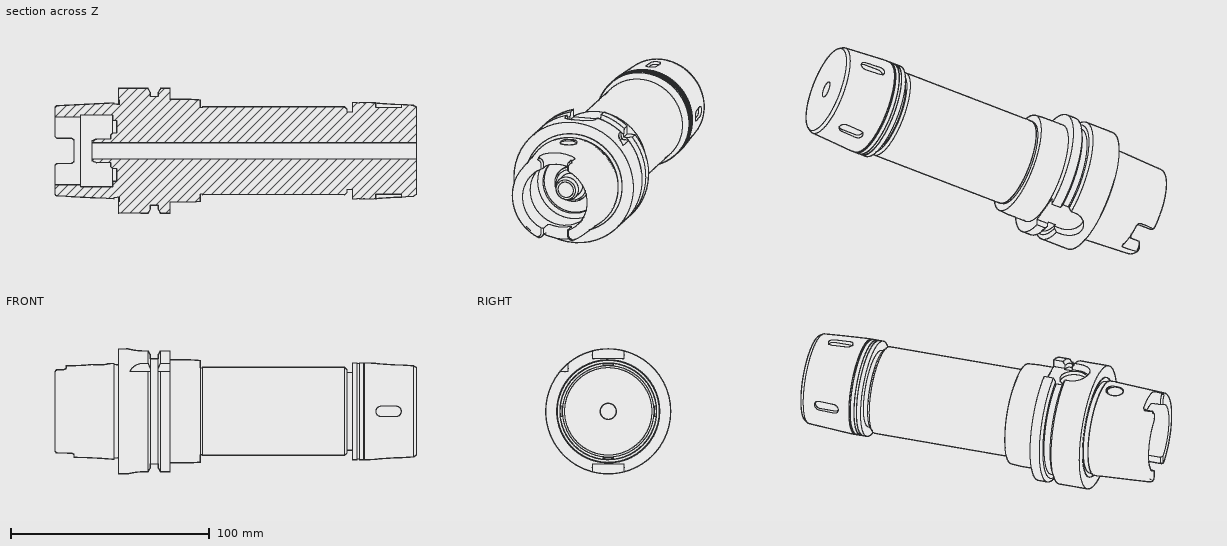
import cadquery as cq
import math


SHANK_LENGTH = 32.0
SHANK_DIAMETER = 48.4
TAPER_SLOPE = 0.05
TIP_ROUND = 1.3
RELIEF_START = -2.2
RELIEF_DEPTH = 0.6
RELIEF_TAPER_START = -1.2
RELIEF_FOOT_DIAMETER = 46.8
FACE_UNDERCUT_DIAMETER = 51.0
FACE_UNDERCUT_DEPTH = 0.4

FLANGE_DIAMETER = 63.0
FLANGE_LENGTH = 26.0
GROOVE_START = 14.9
GROOVE_END = 21.1
GROOVE_DIAMETER = 54.8
GROOVE_BEVEL_WIDTH = 1.2
GROOVE_BEVEL_ANGLE = 60.0
GROOVE_BEVEL_DEPTH = GROOVE_BEVEL_WIDTH * math.tan(math.radians(GROOVE_BEVEL_ANGLE))

COLLAR_DIAMETER = 52.0
COLLAR_TAPER_START = 36.1
COLLAR_END = 41.2
COLLAR_END_DIAMETER = 51.3
NECK_DIAMETER = 44.4
NECK_RELIEF_WIDTH = 1.0
NECK_RELIEF_DEPTH = 0.3
NECK_END = 115.1
NECK_CHAMFER = 1.3
THREAD_DIAMETER = 39.2

NUT_START = 117.7
NUT_END = 150.0
NUT_DIAMETER = 48.8
NUT_RIM_END = 126.2
NUT_FRONT_DIAMETER = 46.0
NUT_CHAMFER_LENGTH = 1.6
NUT_CHAMFER_DEPTH = 1.0
NUT_GROOVES = ((119.9, 121.2), (123.2, 123.9))
NUT_GROOVE_DEPTH = 0.3
WRENCH_SLOT_START = 129.5
WRENCH_SLOT_END = 142.3
WRENCH_SLOT_WIDTH = 5.2
WRENCH_SLOT_FLOOR = 21.9
WRENCH_SLOT_COUNT = 4

ENTRY_DIAMETER = 34.0
ENTRY_END = -19.0
CLAMP_DIAMETER = 36.0
CLAMP_END = -3.0
INNER_DIAMETER = 30.4
INNER_END = -1.0
THROUGH_DIAMETER = 8.0

TUBE_DIAMETER = 12.0
TUBE_END = -13.4
TUBE_TIP_LENGTH = 2.3
TUBE_TIP_DIAMETER = 10.2
TUBE_NUT_DIAMETER = 18.0
TUBE_NUT_END = -4.0
TUBE_NUT_CHAMFER = 1.0

DRIVE_SLOT_WIDTH = 12.5
DRIVE_SLOT_ROUND = 3.0
DRIVE_SLOT_ROUND_CENTRE = 18.0
DRIVE_SLOT_INSIDE = 12.0
DRIVE_SLOT_FLOOR_FILLET = 1.5
DRIVE_SLOT_CHAMFER = 1.0
TOP_SLOT_DEPTH = 5.6
BOTTOM_SLOT_DEPTH = 9.6

SHANK_HOLE_X = -8.9
SHANK_HOLE_DIAMETER = 8.0
SHANK_HOLE_RIM_DIAMETER = 9.2

FLANGE_SLOT_X = 12.75
FLANGE_SLOT_WIDTH = 16.0
FLANGE_SLOT_FLOOR = 26.5
POCKET_DIAMETER = 14.3
POCKET_DEPTH = 2.0
NOTCH_FLOOR = 20.0
NOTCH_WALL = 20.2

BEYOND = 40.0
HALF_RIGHT_ANGLE = 45.0


def revolve_x(points):
    """Solid of revolution about X from (x, radius) points, closed along the axis."""
    start_x = points[0][0]
    end_x = points[-1][0]
    outline = cq.Workplane("XY").moveTo(start_x, 0)
    for x, radius in points:
        outline = outline.lineTo(x, radius)
    outline = outline.lineTo(end_x, 0).close()
    return outline.revolve(360, (0, 0, 0), (1, 0, 0))


def ring(start_x, end_x, inner_radius, outer_radius):
    disc = cq.Workplane("YZ", origin=(start_x, 0, 0)).circle(outer_radius).circle(inner_radius)
    return disc.extrude(end_x - start_x)


def make_shank():
    base_radius = SHANK_DIAMETER / 2
    tip_radius = base_radius - TAPER_SLOPE * (SHANK_LENGTH + RELIEF_START)
    shank = revolve_x([(-SHANK_LENGTH, tip_radius), (RELIEF_START, base_radius)])
    shank = shank.faces("<X").edges().fillet(TIP_ROUND)
    relief_radius = base_radius - RELIEF_DEPTH
    relief = revolve_x([
        (RELIEF_START, relief_radius),
        (RELIEF_TAPER_START, relief_radius),
        (FACE_UNDERCUT_DEPTH, RELIEF_FOOT_DIAMETER / 2),
    ])
    return shank.union(relief)


def make_body():
    flange = FLANGE_DIAMETER / 2
    groove = GROOVE_DIAMETER / 2
    bevel_foot = flange - GROOVE_BEVEL_DEPTH
    collar = COLLAR_DIAMETER / 2
    collar_end = COLLAR_END_DIAMETER / 2
    neck = NECK_DIAMETER / 2
    neck_relief = neck - NECK_RELIEF_DEPTH
    thread = THREAD_DIAMETER / 2
    body = revolve_x([
        (0, flange),
        (GROOVE_START, flange),
        (GROOVE_START + GROOVE_BEVEL_WIDTH, bevel_foot),
        (GROOVE_START + GROOVE_BEVEL_WIDTH, groove),
        (GROOVE_END - GROOVE_BEVEL_WIDTH, groove),
        (GROOVE_END - GROOVE_BEVEL_WIDTH, bevel_foot),
        (GROOVE_END, flange),
        (FLANGE_LENGTH, flange),
        (FLANGE_LENGTH, collar),
        (COLLAR_TAPER_START, collar),
        (COLLAR_END, collar_end),
        (COLLAR_END, neck_relief),
        (COLLAR_END + NECK_RELIEF_WIDTH, neck_relief),
        (COLLAR_END + NECK_RELIEF_WIDTH, neck),
        (NECK_END - NECK_CHAMFER, neck),
        (NECK_END, neck - NECK_CHAMFER),
        (NECK_END, thread),
        (NUT_START, thread),
    ])
    undercut_inner = RELIEF_FOOT_DIAMETER / 2
    return body.cut(ring(0, FACE_UNDERCUT_DEPTH, undercut_inner, FACE_UNDERCUT_DIAMETER / 2))


def make_nut():
    rim = NUT_DIAMETER / 2
    front = NUT_FRONT_DIAMETER / 2
    nut = revolve_x([
        (NUT_START, rim),
        (NUT_RIM_END, rim),
        (NUT_END - NUT_CHAMFER_LENGTH, front),
        (NUT_END, front - NUT_CHAMFER_DEPTH),
    ])
    for start_x, end_x in NUT_GROOVES:
        nut = nut.cut(ring(start_x, end_x, rim - NUT_GROOVE_DEPTH, BEYOND))
    slot_length = WRENCH_SLOT_END - WRENCH_SLOT_START
    slot_middle = (WRENCH_SLOT_START + WRENCH_SLOT_END) / 2
    slot = (
        cq.Workplane("XY", origin=(slot_middle, 0, WRENCH_SLOT_FLOOR))
        .slot2D(slot_length, WRENCH_SLOT_WIDTH)
        .extrude(BEYOND - WRENCH_SLOT_FLOOR)
    )
    for i in range(WRENCH_SLOT_COUNT):
        nut = nut.cut(slot.rotate((0, 0, 0), (1, 0, 0), i * 360 / WRENCH_SLOT_COUNT))
    return nut


def make_bores():
    entry = ENTRY_DIAMETER / 2
    clamp = CLAMP_DIAMETER / 2
    inner = INNER_DIAMETER / 2
    return revolve_x([
        (-SHANK_LENGTH, entry),
        (ENTRY_END, entry),
        (ENTRY_END, clamp),
        (CLAMP_END, clamp),
        (CLAMP_END, inner),
        (INNER_END, inner),
    ])


def make_coolant_tube():
    tube = TUBE_DIAMETER / 2
    nut = TUBE_NUT_DIAMETER / 2
    return revolve_x([
        (TUBE_END, TUBE_TIP_DIAMETER / 2),
        (TUBE_END + TUBE_TIP_LENGTH, tube),
        (TUBE_NUT_END, tube),
        (TUBE_NUT_END, nut - TUBE_NUT_CHAMFER),
        (TUBE_NUT_END + TUBE_NUT_CHAMFER, nut),
        (INNER_END, nut),
    ])


def make_through_hole():
    start = cq.Workplane("YZ", origin=(TUBE_END, 0, 0))
    return start.circle(THROUGH_DIAMETER / 2).extrude(NUT_END - TUBE_END)


def drive_slot_outline(margin):
    """Slot section at the tip face: straight walls that flare outward in an arc."""
    half = DRIVE_SLOT_WIDTH / 2 + margin
    bend = DRIVE_SLOT_ROUND - margin
    mouth = half + bend
    flare_end = DRIVE_SLOT_ROUND_CENTRE + bend
    mid_y = mouth - bend * math.cos(math.radians(HALF_RIGHT_ANGLE))
    mid_z = DRIVE_SLOT_ROUND_CENTRE + bend * math.sin(math.radians(HALF_RIGHT_ANGLE))
    return (
        cq.Workplane("YZ", origin=(-SHANK_LENGTH, 0, 0))
        .moveTo(-half, DRIVE_SLOT_INSIDE)
        .lineTo(half, DRIVE_SLOT_INSIDE)
        .lineTo(half, DRIVE_SLOT_ROUND_CENTRE)
        .threePointArc((mid_y, mid_z), (mouth, flare_end))
        .lineTo(mouth, BEYOND)
        .lineTo(-mouth, BEYOND)
        .lineTo(-mouth, flare_end)
        .threePointArc((-mid_y, mid_z), (-half, DRIVE_SLOT_ROUND_CENTRE))
        .close()
    )


def make_drive_slot(depth):
    """Slot opening upward, with filleted floor corners and a chamfered front edge."""
    slot = drive_slot_outline(0).extrude(depth)
    slot = slot.faces(">X").edges().fillet(DRIVE_SLOT_FLOOR_FILLET)
    chamfer = drive_slot_outline(DRIVE_SLOT_CHAMFER).extrude(DRIVE_SLOT_CHAMFER, taper=HALF_RIGHT_ANGLE)
    return slot.union(chamfer)


def make_shank_hole():
    rim_chamfer = (SHANK_HOLE_RIM_DIAMETER - SHANK_HOLE_DIAMETER) / 2
    surface = SHANK_DIAMETER / 2 + TAPER_SLOPE * (SHANK_HOLE_X - RELIEF_START)
    hole = cq.Workplane("XY", origin=(SHANK_HOLE_X, 0, 0)).circle(SHANK_HOLE_DIAMETER / 2).extrude(BEYOND)
    rim = (
        cq.Workplane("XY", origin=(SHANK_HOLE_X, 0, surface))
        .circle(SHANK_HOLE_RIM_DIAMETER / 2)
        .extrude(-rim_chamfer, taper=HALF_RIGHT_ANGLE)
    )
    return hole.union(rim)


def round_ended_slot(centre_y, floor):
    """Upward-open slot that ends in a half circle and runs out through the flange."""
    radius = FLANGE_SLOT_WIDTH / 2
    run = FLANGE_LENGTH - FLANGE_SLOT_X
    base = cq.Workplane("XY", origin=(FLANGE_SLOT_X, centre_y, floor))
    end = base.circle(radius).extrude(BEYOND - floor)
    channel = base.center(run / 2, 0).rect(run, FLANGE_SLOT_WIDTH).extrude(BEYOND - floor)
    return end.union(channel)


def cut_flange_slots(part):
    slot = round_ended_slot(0, FLANGE_SLOT_FLOOR)
    opposite_slot = slot.rotate((0, 0, 0), (1, 0, 0), 180)
    pocket = (
        cq.Workplane("XY", origin=(FLANGE_SLOT_X, 0, FLANGE_SLOT_FLOOR - POCKET_DEPTH))
        .circle(POCKET_DIAMETER / 2)
        .extrude(BEYOND - FLANGE_SLOT_FLOOR)
    )
    notch = round_ended_slot(-NOTCH_WALL - FLANGE_SLOT_WIDTH / 2, NOTCH_FLOOR)
    return part.cut(slot).cut(opposite_slot).cut(pocket).cut(notch)


part = make_body().union(make_shank()).union(make_nut())
part = part.cut(make_bores())
part = part.cut(make_drive_slot(TOP_SLOT_DEPTH))
part = part.cut(make_drive_slot(BOTTOM_SLOT_DEPTH).rotate((0, 0, 0), (1, 0, 0), 180))
part = part.cut(make_shank_hole())
part = cut_flange_slots(part)
result = part.union(make_coolant_tube()).cut(make_through_hole())